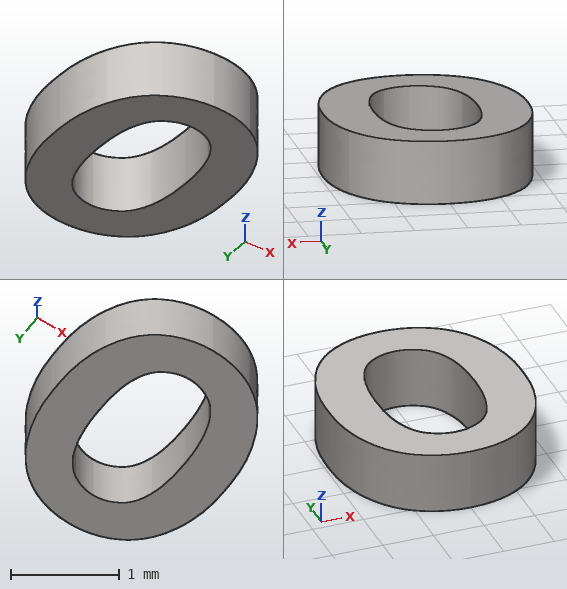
import cadquery as cq

width = 1.93
length = 2.32
thickness = 0.6

opening_width = 0.984
opening_length = 1.555

outer_flat = 0.055
outer_side_control = 0.374
outer_shoulder = (0.72, 0.898)
outer_end_control = 0.275

opening_flat = 0.012
opening_side_control = 0.278
opening_shoulder = (0.37, 0.629)
opening_end_control = 0.13


def midpoint(start, finish):
    return ((start[0] + finish[0]) / 2, (start[1] + finish[1]) / 2)


def oval_prism(oval_width, oval_length, flat, side_control, shoulder, end_control):
    """Extrude an oval with short flat sides and three quadratic curves per quarter."""
    half_width = oval_width / 2
    half_length = oval_length / 2
    side = (half_width, side_control)
    end = (end_control, half_length)
    side_joint = midpoint(side, shoulder)
    end_joint = midpoint(shoulder, end)
    curves = [
        [(half_width, flat), side, side_joint],
        [side_joint, shoulder, end_joint],
        [end_joint, end, (0, half_length)],
    ]
    backward_curves = [curve[::-1] for curve in reversed(curves)]

    outline = cq.Workplane("XY").moveTo(half_width, -flat)
    quarters = [(1, 1, curves), (-1, 1, backward_curves), (-1, -1, curves), (1, -1, backward_curves)]
    for x_sign, y_sign, quarter in quarters:
        if quarter is curves:
            outline = outline.lineTo(x_sign * half_width, y_sign * flat)
        for curve in quarter:
            outline = outline.bezier([(x_sign * x, y_sign * y) for x, y in curve])
    return outline.close().extrude(thickness)


ring = oval_prism(
    width, length, outer_flat, outer_side_control, outer_shoulder, outer_end_control
)
opening = oval_prism(
    opening_width, opening_length, opening_flat, opening_side_control, opening_shoulder, opening_end_control
)
result = ring.cut(opening)